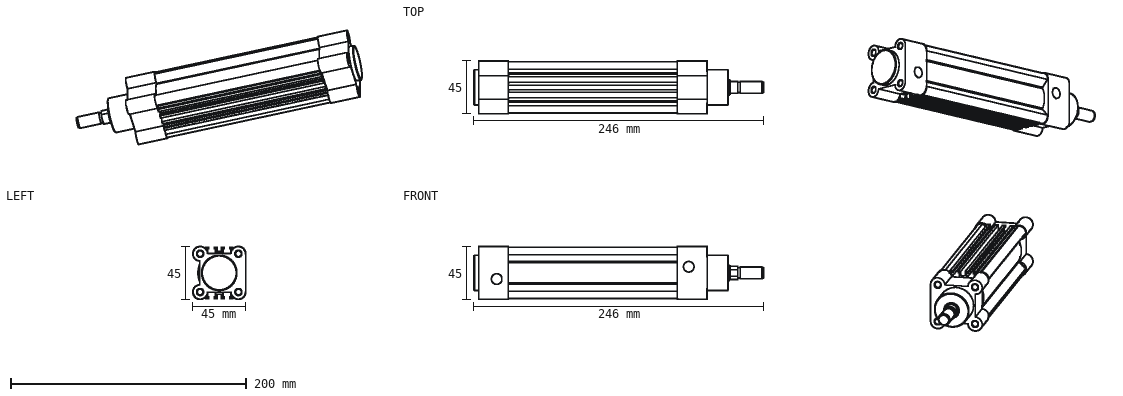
import cadquery as cq


total_length = 246.0
spigot_length = 4.0
cap_length = 25.3
front_face_x = 198.0
boss_length = 18.0
thread_length = 22.0

barrel_start_x = spigot_length + cap_length
barrel_end_x = front_face_x - cap_length
barrel_length = barrel_end_x - barrel_start_x
boss_end_x = front_face_x + boss_length
shoulder_x = total_length - thread_length

cap_half_width = 22.5
post_offset = 16.25
post_radius = cap_half_width - post_offset
cap_recess = 16.6
collar_diameter = 30.0
collar_chamfer = 0.6
screw_hole_diameter = 5.0
screw_hole_mouth = 6.0
screw_hole_depth = 16.0
port_diameter = 9.0
port_depth = 10.0
port_offset_z = 5.2
rear_port_x = spigot_length + 15.4
front_port_x = front_face_x - 15.6

wiper_diameter = 13.2
wiper_length = 0.8

barrel_half_width = 21.85
barrel_round_radius = 18.15
lobe_radius = barrel_half_width - post_offset
lobe_shoulder = 15.6
flank_foot_y = 16.0
flank_foot_z = lobe_shoulder - (barrel_half_width - flank_foot_y)
round_edge_z = (barrel_round_radius**2 - flank_foot_y**2) ** 0.5
groove_root_y = 12.6
groove_root_z = barrel_half_width - (lobe_shoulder - groove_root_y)
outer_fin_edge_y = 11.3
outer_fin_foot_z = groove_root_z + (groove_root_y - outer_fin_edge_y)
slot_floor_z = 16.5
slot_outer_y = 9.7
slot_inner_y = 3.35
lip_outer_y = 8.9
lip_inner_y = 4.3
lip_thickness = 1.45
lip_under_z = barrel_half_width - lip_thickness
channel_half_width = 1.9
channel_floor_z = 18.2
channel_fillet = 0.5

rod_diameter = 12.0
wrench_diameter = 11.6
flats_width = 10.2
flats_length = 6.2
undercut_diameter = 8.8
undercut_length = 2.0
thread_diameter = 10.0
tip_diameter = 8.6
tip_length = 1.5


def section_plane(x):
    """Plane across the cylinder axis: local x is Y, local y is Z, extrusion goes to +X."""
    return cq.Workplane("YZ", origin=(x, 0, 0))


def bar(x, diameter, length):
    return section_plane(x).circle(diameter / 2).extrude(length)


def cap_block(start_x):
    """Cap body: four corner posts, recessed between them except on the -Y port side."""
    core = section_plane(start_x).rect(2 * cap_recess, 2 * cap_recess).extrude(cap_length)
    port_side_depth = cap_half_width - cap_recess
    port_side = (
        section_plane(start_x)
        .center(-(cap_recess + port_side_depth / 2), 0)
        .rect(port_side_depth, 2 * post_offset)
        .extrude(cap_length)
    )
    posts = (
        section_plane(start_x)
        .rect(2 * post_offset, 2 * post_offset, forConstruction=True)
        .vertices()
        .circle(post_radius)
        .extrude(cap_length)
    )
    return core.union(port_side).union(posts)


def screw_holes(face_x, inward):
    """Blind holes in the four posts with a countersunk mouth; inward is +1 or -1 along X."""
    chamfer = (screw_hole_mouth - screw_hole_diameter) / 2
    hole_profile = (
        cq.Workplane("XY")
        .polyline(
            [
                (0, 0),
                (0, screw_hole_mouth / 2),
                (inward * chamfer, screw_hole_diameter / 2),
                (inward * screw_hole_depth, screw_hole_diameter / 2),
                (inward * screw_hole_depth, 0),
            ]
        )
        .close()
    )
    hole = hole_profile.revolve(360, (0, 0, 0), (1, 0, 0)).val()
    holes = cq.Workplane("XY")
    for y in (-post_offset, post_offset):
        for z in (-post_offset, post_offset):
            holes = holes.add(hole.translate(cq.Vector(face_x, y, z)))
    return holes.combine()


def port(x, z):
    """Blind air port drilled inwards from the -Y face."""
    return (
        cq.Workplane("XZ", origin=(x, -cap_half_width, z))
        .circle(port_diameter / 2)
        .extrude(-port_depth)
    )


def make_rear_cap():
    spigot = bar(0, collar_diameter, spigot_length)
    spigot = spigot.faces("<X").edges().chamfer(collar_chamfer)
    cap = cap_block(spigot_length).union(spigot)
    return cap.cut(screw_holes(spigot_length, 1)).cut(port(rear_port_x, -port_offset_z))


def make_front_cap():
    boss = bar(front_face_x, collar_diameter, boss_length)
    boss = boss.faces(">X").edges().chamfer(collar_chamfer)
    wiper = bar(boss_end_x, wiper_diameter, wiper_length)
    rod_bore = bar(barrel_end_x, rod_diameter, boss_end_x + wiper_length - barrel_end_x)
    cap = cap_block(barrel_end_x).union(boss).union(wiper)
    holes = screw_holes(front_face_x, -1)
    return cap.cut(holes).cut(port(front_port_x, port_offset_z)).cut(rod_bore)


def make_barrel():
    """Extruded profile drawn as one quadrant (+Y, +Z) and mirrored twice."""
    half_chord = 0.5**0.5
    round_mid_z = round_edge_z / 2
    round_mid_y = (barrel_round_radius**2 - round_mid_z**2) ** 0.5
    lobe_mid = post_offset + lobe_radius * half_chord
    fillet_inset = channel_fillet * (1 - half_chord)
    quadrant = (
        section_plane(barrel_start_x)
        .lineTo(barrel_round_radius, 0)
        .threePointArc((round_mid_y, round_mid_z), (flank_foot_y, round_edge_z))
        .lineTo(flank_foot_y, flank_foot_z)
        .lineTo(barrel_half_width, lobe_shoulder)
        .lineTo(barrel_half_width, post_offset)
        .threePointArc((lobe_mid, lobe_mid), (post_offset, barrel_half_width))
        .lineTo(lobe_shoulder, barrel_half_width)
        .lineTo(groove_root_y, groove_root_z)
        .lineTo(outer_fin_edge_y, outer_fin_foot_z)
        .lineTo(outer_fin_edge_y, barrel_half_width)
        .lineTo(lip_outer_y, barrel_half_width)
        .lineTo(lip_outer_y, lip_under_z)
        .lineTo(slot_outer_y, lip_under_z)
        .lineTo(slot_outer_y, slot_floor_z)
        .lineTo(slot_inner_y, slot_floor_z)
        .lineTo(slot_inner_y, lip_under_z)
        .lineTo(lip_inner_y, lip_under_z)
        .lineTo(lip_inner_y, barrel_half_width)
        .lineTo(channel_half_width, barrel_half_width)
        .lineTo(channel_half_width, channel_floor_z + channel_fillet)
        .threePointArc(
            (channel_half_width - fillet_inset, channel_floor_z + fillet_inset),
            (channel_half_width - channel_fillet, channel_floor_z),
        )
        .lineTo(0, channel_floor_z)
        .close()
        .extrude(barrel_length)
    )
    half = quadrant.union(quadrant.mirror("XZ"))
    return half.union(half.mirror("XY"))


def make_piston_rod():
    thread_start_x = shoulder_x + undercut_length
    wrench_start_x = shoulder_x - flats_length
    shaft = bar(barrel_end_x, rod_diameter, wrench_start_x - barrel_end_x)
    flats_block = (
        section_plane(wrench_start_x)
        .rect(flats_width, wrench_diameter)
        .extrude(flats_length)
    )
    wrench_section = bar(wrench_start_x, wrench_diameter, flats_length).intersect(flats_block)
    undercut = bar(shoulder_x, undercut_diameter, undercut_length)
    thread = bar(thread_start_x, thread_diameter, total_length - thread_start_x)
    tip_taper = (thread_diameter - tip_diameter) / 2
    thread = thread.faces(">X").edges().chamfer(tip_length, tip_taper)
    return shaft.union(wrench_section).union(undercut).union(thread)


rear_cap = make_rear_cap()
barrel = make_barrel()
front_cap = make_front_cap()
piston_rod = make_piston_rod()

result = cq.Compound.makeCompound(
    [
        *rear_cap.solids().vals(),
        *barrel.solids().vals(),
        *front_cap.solids().vals(),
        *piston_rod.solids().vals(),
    ]
)